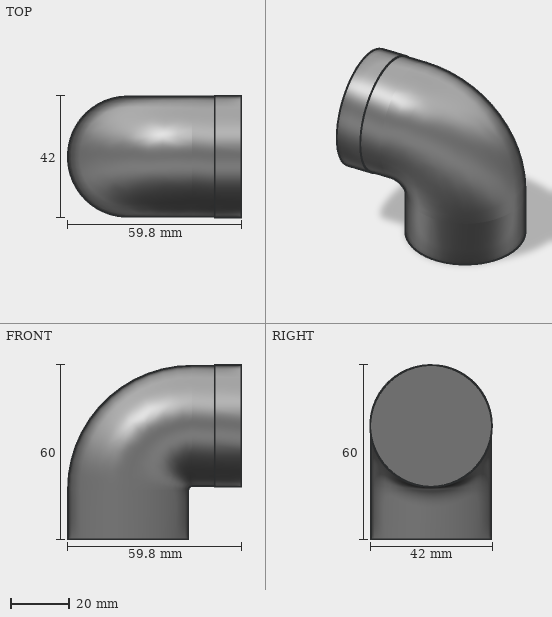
import cadquery as cq

pipe_diameter = 41.5
collar_diameter = 42.0
bend_radius = 22.0
leg_length = 17.0
collar_length = 9.1

axis_height = leg_length + bend_radius
end_x = bend_radius + leg_length


def make_pipe():
    """Solid elbow: vertical leg, quarter bend and horizontal leg."""
    vertical_leg = cq.Workplane("XY").circle(pipe_diameter / 2).extrude(leg_length)
    bend = (
        cq.Workplane("XY", origin=(0, 0, leg_length))
        .circle(pipe_diameter / 2)
        .revolve(90, (bend_radius, 0, 0), (bend_radius, 1, 0))
    )
    horizontal_leg = (
        cq.Workplane("YZ", origin=(bend_radius, 0, axis_height))
        .circle(pipe_diameter / 2)
        .extrude(leg_length)
    )
    return vertical_leg.union(bend).union(horizontal_leg)


def make_collar():
    """Slightly larger band flush with the end of the horizontal leg."""
    return (
        cq.Workplane("YZ", origin=(end_x - collar_length, 0, axis_height))
        .circle(collar_diameter / 2)
        .extrude(collar_length)
    )


result = make_pipe().union(make_collar())